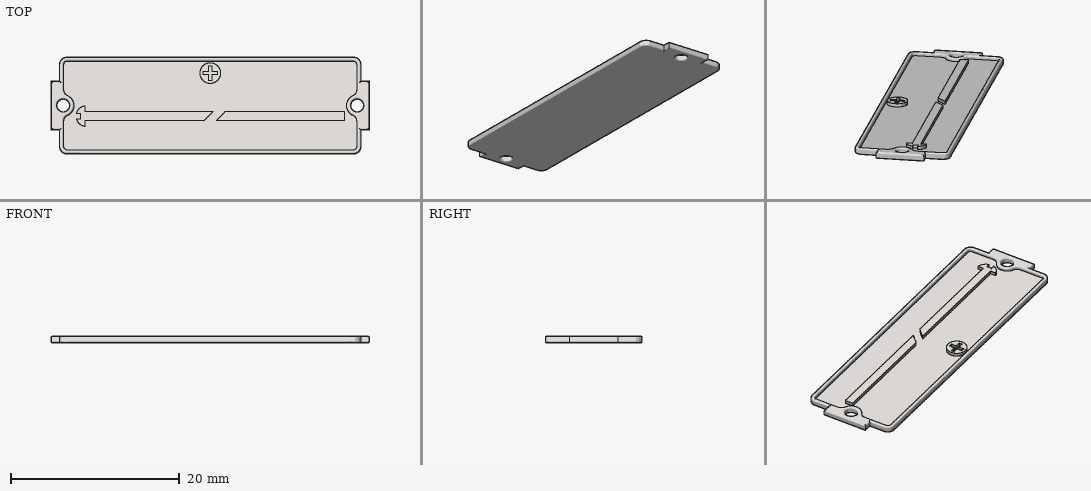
import cadquery as cq

thickness = 0.8
body_length = 35.8
body_width = 11.5
corner_radius = 0.9
overall_length = 37.8
tab_width = 5.8
edge_radius = 0.2

hole_diameter = 1.5
hole_spacing = 34.9
hole_centers = [(-hole_spacing / 2, 0), (hole_spacing / 2, 0)]

recess_depth = 0.4
rim_width = 0.5
lip_width = 0.53
lip_radius = hole_diameter / 2 + lip_width
lip_blend_radius = 0.8
floor_z = thickness - recess_depth

mark_height = recess_depth

disc_diameter = 2.45
disc_center_y = 3.85
cross_length = 1.74
cross_width = 0.37

screw_center_y = -1.25
head_width = disc_diameter
head_base_x = -14.87
head_tip_x = -15.93
slot_floor_x = -15.39
slot_width = 0.64
shaft_width = 1.03
shaft_end_x = 15.95
break_center_x = 0.53
break_length = 1.45


def make_plate():
    body = (
        cq.Workplane("XY")
        .rect(body_length, body_width)
        .extrude(thickness)
        .edges("|Z")
        .fillet(corner_radius)
    )
    tabs = cq.Workplane("XY").rect(overall_length, tab_width).extrude(thickness)
    holes = cq.Workplane("XY").pushPoints(hole_centers).circle(hole_diameter / 2).extrude(thickness)
    return body.union(tabs).cut(holes)


def make_recess():
    """Rounded rectangle that steps around both screw holes."""
    floor = cq.Workplane("XY", origin=(0, 0, floor_z))
    rectangle = (
        floor.rect(body_length - 2 * rim_width, body_width - 2 * rim_width)
        .extrude(recess_depth)
        .edges("|Z")
        .fillet(corner_radius - rim_width)
    )
    lips = floor.pushPoints(hole_centers).circle(lip_radius).extrude(recess_depth)
    recess = rectangle.cut(lips)
    near_lips = cq.selectors.BoxSelector(
        (-body_length / 2, -tab_width / 2, 0), (body_length / 2, tab_width / 2, thickness)
    )
    return recess.edges("|Z").edges(near_lips).fillet(lip_blend_radius)


def make_side_screw():
    half_shaft = shaft_width / 2
    half_head = head_width / 2
    break_start_x = break_center_x - break_length / 2
    break_end_x = break_center_x + break_length / 2
    floor = cq.Workplane("XY", origin=(0, screw_center_y, floor_z))
    head = (
        floor.moveTo(head_base_x, -half_head)
        .threePointArc((head_tip_x, 0), (head_base_x, half_head))
        .close()
        .extrude(mark_height)
    )
    slot_depth = slot_floor_x - head_tip_x
    slot = (
        floor.center(slot_floor_x - slot_depth / 2, 0)
        .rect(slot_depth, slot_width)
        .extrude(mark_height)
    )
    near_shaft = floor.polyline([
        (head_base_x, half_shaft),
        (break_start_x + half_shaft, half_shaft),
        (break_start_x - half_shaft, -half_shaft),
        (head_base_x, -half_shaft),
    ]).close().extrude(mark_height)
    far_shaft = floor.polyline([
        (break_end_x + half_shaft, half_shaft),
        (shaft_end_x, half_shaft),
        (shaft_end_x, -half_shaft),
        (break_end_x - half_shaft, -half_shaft),
    ]).close().extrude(mark_height)
    return head.cut(slot).union(near_shaft), far_shaft


def make_front_screw():
    floor = cq.Workplane("XY", origin=(0, disc_center_y, floor_z))
    disc = floor.circle(disc_diameter / 2).extrude(mark_height)
    bar_x = floor.rect(cross_length, cross_width).extrude(mark_height)
    bar_y = floor.rect(cross_width, cross_length).extrude(mark_height)
    return disc.cut(bar_x).cut(bar_y)


result = make_plate().cut(make_recess())
result = result.faces("<Z or >Z").edges().fillet(edge_radius)
for mark in (make_front_screw(), *make_side_screw()):
    result = result.union(mark)